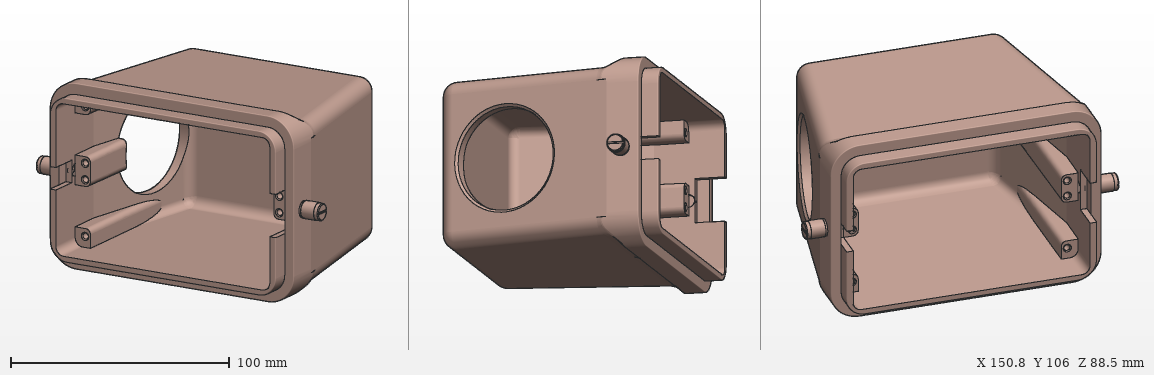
import cadquery as cq
import math


TOTAL_LENGTH = 150.8
RIM_DEPTH = 8.0
HOOD_DEPTH = 98.0
RIM_HALF_X = 60.3
RIM_HALF_Z = 39.0
RIM_RADIUS = 9.0
FLANGE_HEIGHT = 88.5
FLANGE_HALF_X = 65.3
FLANGE_HALF_Z = FLANGE_HEIGHT / 2
FLANGE_RADIUS = RIM_RADIUS + FLANGE_HALF_X - RIM_HALF_X
BLEND_RADIUS = 10.0
BLEND_TOP = 18.7
CREST_RADIUS = 1.7

HOOD_RADIUS = 7.0
TAPER_START = 15.1
HOOD_BACK_HALF_X = 49.6
SIDE_SLOPE = (FLANGE_HALF_X - HOOD_BACK_HALF_X) / (HOOD_DEPTH - TAPER_START)
SIDE_ANGLE = math.degrees(math.atan(SIDE_SLOPE))

CAVITY_HALF_X = 57.2
CAVITY_FRONT_HALF_Z = 36.3
CAVITY_BACK_HALF_Z = 35.5
CAVITY_BACK = 90.0
CAVITY_BACK_HALF_X = 45.0
CAVITY_CORNER_RADIUS = 4.0
CAVITY_BACK_RADIUS = 5.1

BOSS_FRONT = 9.0
BOSS_HALF_X = 49.0
BOSS_DRAFT = 0.45
BOSS_RADIUS = 2.5
MIDDLE_BOSS_HALF_Z = 7.1
CORNER_BOSS_Z = 27.1
SCREW_X = 51.9
MIDDLE_SCREW_Z = 3.9
CORNER_SCREW_Z = 30.9
SCREW_DIAMETER = 2.9
SCREW_MOUTH_DIAMETER = 3.9
SCREW_DEPTH = 15.1

NOTCH_INNER_X = 56.5
NOTCH_FLOOR = 6.0
LEFT_NOTCH_WIDTH = 10.7
RIGHT_NOTCH_WIDTH = 20.7

ENTRY_Y = 66.0
ENTRY_DIAMETER = 48.3
ENTRY_MOUTH_DIAMETER = 50.7
ENTRY_CHAMFER = (ENTRY_MOUTH_DIAMETER - ENTRY_DIAMETER) / 2
ENTRY_REACH = 13.5

PIN_Y = 8.5
PIN_DIAMETER = 8.5
PIN_END_DIAMETER = 8.1
PIN_END_LENGTH = 2.3
PIN_TIP_CHAMFER = 0.5
PIN_BASE_GAP = 0.9
PIN_SLOT_WIDTH = 0.8
PIN_SLOT_DEPTH = 0.6
PIN_BORE_Y = 9.3
PIN_BORE_DIAMETER = 6.0
PIN_BORE_DEPTH = 2.4

EDGE_RADIUS = 0.5


def block(x0, x1, y0, y1, z0, z1):
    return cq.Workplane("XY").box(x1 - x0, y1 - y0, z1 - z0, centered=False).translate((x0, y0, z0))


def centered_block(half_x, y0, y1, half_z):
    return block(-half_x, half_x, y0, y1, -half_z, half_z)


def rounded_block(half_x, half_z, radius, y0, y1):
    return centered_block(half_x, y0, y1, half_z).edges("|Y").fillet(radius)


def side_x(y):
    """Half width of the hood's sharp tapered outline at depth y."""
    return HOOD_BACK_HALF_X + SIDE_SLOPE * (HOOD_DEPTH - y)


def tapered_hood():
    outline = [
        (-side_x(0), 0),
        (side_x(0), 0),
        (HOOD_BACK_HALF_X, HOOD_DEPTH),
        (-HOOD_BACK_HALF_X, HOOD_DEPTH),
    ]
    hood = cq.Workplane("XY").polyline(outline).close().extrude(RIM_HALF_Z, both=True)
    return hood.edges("not(<Y)").fillet(HOOD_RADIUS)


def flange_blend():
    """Concave blend from the flange up to the hood's long sides and around its corners.

    The blend turns about the axis of each tilted corner rounding of the hood.
    """
    cos_a = math.cos(math.radians(SIDE_ANGLE))
    sin_a = math.sin(math.radians(SIDE_ANGLE))
    corner_x = side_x(BLEND_TOP) - HOOD_RADIUS / cos_a
    corner_z = RIM_HALF_Z - HOOD_RADIUS
    radial = cq.Plane(origin=(corner_x, BLEND_TOP, corner_z), xDir=(0, 0, 1), normal=(cos_a, sin_a, 0))
    outer_radius = HOOD_RADIUS + BLEND_RADIUS
    arc_sag = BLEND_RADIUS * math.sqrt(0.5)
    profile = (
        cq.Workplane(radial)
        .lineTo(HOOD_RADIUS, 0)
        .threePointArc((outer_radius - arc_sag, arc_sag), (outer_radius, BLEND_RADIUS))
        .lineTo(outer_radius, 2 * BLEND_RADIUS)
        .lineTo(0, 2 * BLEND_RADIUS)
        .close()
    )
    corner = profile.revolve(90, (0, 0), (0, -1))
    face = cq.Face.makeFromWires(profile.wires().val())
    straight = cq.Workplane(cq.Solid.extrudeLinear(face, cq.Vector(-FLANGE_HALF_X, 0, 0)))
    half = corner.union(straight)
    side = half.union(half.mirror("YZ"))
    return side.union(side.mirror("XY"))


def blend_crest(body):
    """Rounds the edges where the blend runs out on the flange's outer surface."""
    corner_z = RIM_HALF_Z - HOOD_RADIUS
    for side in (-1, 1):
        crest = cq.selectors.BoxSelector(
            (-FLANGE_HALF_X, BLEND_TOP - BLEND_RADIUS, side * corner_z),
            (FLANGE_HALF_X, BLEND_TOP - CREST_RADIUS, side * TOTAL_LENGTH),
        )
        body = body.edges(crest).edges("%BSPLINE").fillet(CREST_RADIUS)
    return body


def outer_body():
    envelope = rounded_block(FLANGE_HALF_X, FLANGE_HALF_Z, FLANGE_RADIUS, 0, HOOD_DEPTH)
    body = blend_crest(tapered_hood().union(flange_blend()).intersect(envelope))
    body = body.faces("<Y").edges().fillet(EDGE_RADIUS)
    rim = rounded_block(RIM_HALF_X, RIM_HALF_Z, RIM_RADIUS, -RIM_DEPTH, TAPER_START)
    return body.union(rim.faces("<Y").edges().fillet(EDGE_RADIUS))


def cavity():
    taper_y = CAVITY_BACK - (CAVITY_HALF_X - CAVITY_BACK_HALF_X) / SIDE_SLOPE
    plan = [
        (-CAVITY_HALF_X, -RIM_DEPTH),
        (CAVITY_HALF_X, -RIM_DEPTH),
        (CAVITY_HALF_X, taper_y),
        (CAVITY_BACK_HALF_X, CAVITY_BACK),
        (-CAVITY_BACK_HALF_X, CAVITY_BACK),
        (-CAVITY_HALF_X, taper_y),
    ]
    section = [
        (-RIM_DEPTH, -CAVITY_FRONT_HALF_Z),
        (CAVITY_BACK, -CAVITY_BACK_HALF_Z),
        (CAVITY_BACK, CAVITY_BACK_HALF_Z),
        (-RIM_DEPTH, CAVITY_FRONT_HALF_Z),
    ]
    across_z = cq.Workplane("XY").polyline(plan).close().extrude(RIM_HALF_Z, both=True)
    across_x = cq.Workplane("YZ").polyline(section).close().extrude(RIM_HALF_X, both=True)
    space = across_z.intersect(across_x)
    space = space.faces(">Y").edges().fillet(CAVITY_BACK_RADIUS)
    corners = cq.selectors.BoxSelector(
        (-RIM_HALF_X, 0, -RIM_HALF_Z),
        (RIM_HALF_X, CAVITY_BACK - CAVITY_BACK_RADIUS, RIM_HALF_Z),
    )
    return space.edges(corners).edges("not(|Z or |X)").fillet(CAVITY_CORNER_RADIUS)


def boss(side, z0, z1):
    """Drafted boss against the side wall; it grows slightly toward the back."""
    half_x = RIM_HALF_X - BOSS_HALF_X
    profile = cq.Sketch().rect(2 * half_x, z1 - z0).vertices().fillet(BOSS_RADIUS)
    front = cq.Workplane("XZ", origin=(side * RIM_HALF_X, BOSS_FRONT, (z0 + z1) / 2))
    return front.placeSketch(profile).extrude(-(CAVITY_BACK - BOSS_FRONT), taper=-BOSS_DRAFT)


def bosses():
    group = cq.Workplane("XY")
    for side in (-1, 1):
        group = group.union(boss(side, -MIDDLE_BOSS_HALF_Z, MIDDLE_BOSS_HALF_Z))
        group = group.union(boss(side, CORNER_BOSS_Z, FLANGE_HALF_Z))
        group = group.union(boss(side, -FLANGE_HALF_Z, -CORNER_BOSS_Z))
    return group


def screw_holes():
    chamfer = (SCREW_MOUTH_DIAMETER - SCREW_DIAMETER) / 2
    group = cq.Workplane("XY")
    for x in (-SCREW_X, SCREW_X):
        for z in (-CORNER_SCREW_Z, -MIDDLE_SCREW_Z, MIDDLE_SCREW_Z, CORNER_SCREW_Z):
            start = cq.Vector(x, BOSS_FRONT, z)
            inward = cq.Vector(0, 1, 0)
            bore = cq.Solid.makeCylinder(SCREW_DIAMETER / 2, SCREW_DEPTH, start, inward)
            mouth = cq.Solid.makeCone(SCREW_MOUTH_DIAMETER / 2, SCREW_DIAMETER / 2, chamfer, start, inward)
            group = group.union(cq.Workplane(bore)).union(cq.Workplane(mouth))
    return group


def notch(side, width):
    x0, x1 = sorted((side * NOTCH_INNER_X, side * RIM_HALF_X))
    return block(x0, x1, -RIM_DEPTH, NOTCH_FLOOR, -width / 2, width / 2)


def cable_entry():
    axis = cq.Plane(
        origin=(-side_x(ENTRY_Y), ENTRY_Y, 0),
        xDir=(0, 0, 1),
        normal=(math.cos(math.radians(SIDE_ANGLE)), -math.sin(math.radians(SIDE_ANGLE)), 0),
    )
    bore = cq.Workplane(axis).circle(ENTRY_DIAMETER / 2).extrude(ENTRY_REACH)
    mouth = (
        cq.Workplane(axis)
        .circle(ENTRY_MOUTH_DIAMETER / 2)
        .workplane(offset=ENTRY_CHAMFER)
        .circle(ENTRY_DIAMETER / 2)
        .loft()
    )
    return bore.union(mouth)


def pin_bores():
    wall = cq.Workplane("YZ", origin=(CAVITY_HALF_X, PIN_BORE_Y, 0))
    bore = wall.circle(PIN_BORE_DIAMETER / 2).extrude(PIN_BORE_DEPTH)
    return bore.union(bore.mirror("YZ"))


def locking_pin():
    tip = TOTAL_LENGTH / 2
    plane = cq.Workplane("YZ", origin=(RIM_HALF_X, PIN_Y, 0))
    core = plane.circle(PIN_END_DIAMETER / 2).extrude(tip - RIM_HALF_X)
    core = core.faces(">X").chamfer(PIN_TIP_CHAMFER)
    sleeve_start = FLANGE_HALF_X + PIN_BASE_GAP
    sleeve_length = tip - PIN_END_LENGTH - sleeve_start
    sleeve_plane = cq.Workplane("YZ", origin=(sleeve_start, PIN_Y, 0))
    sleeve = sleeve_plane.circle(PIN_DIAMETER / 2).extrude(sleeve_length)
    slot = block(
        tip - PIN_SLOT_DEPTH, tip, PIN_Y - PIN_DIAMETER, PIN_Y + PIN_DIAMETER,
        -PIN_SLOT_WIDTH / 2, PIN_SLOT_WIDTH / 2,
    )
    return core.union(sleeve).cut(slot)


void = cavity().cut(bosses())
shell = outer_body().cut(void).cut(screw_holes())
shell = shell.cut(notch(-1, LEFT_NOTCH_WIDTH)).cut(notch(1, RIGHT_NOTCH_WIDTH))
shell = shell.cut(pin_bores()).cut(cable_entry())
right_pin = locking_pin()
result = shell.union(right_pin).union(right_pin.mirror("YZ"))